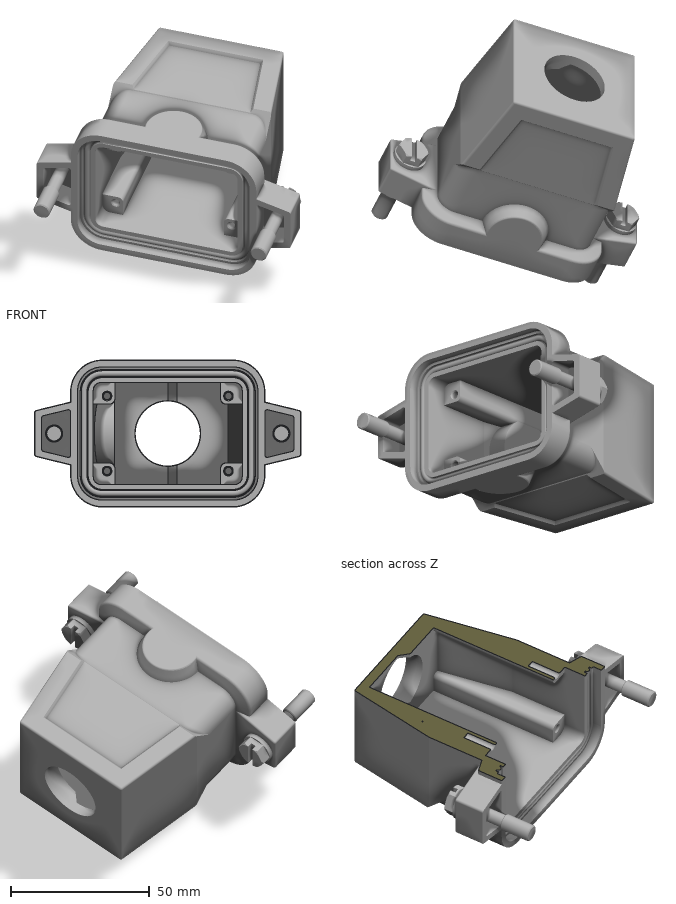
import cadquery as cq
import math


flange_half_x = 35.0
flange_half_z = 26.5
flange_corner = 11.5
flange_edge_y = 10.2
flange_top_y = 11.9
flange_edge_round = 1.0

neck_half_x = 29.9
neck_half_z = 21.6
neck_corner = 6.7

taper_start_y = 34.3
shoulder_y = 35.4
hood_end_y = 70.1
hood_half_z = 23.0
side_draft = 10.0
hood_edge_round = 0.9
undercut_reach = 11.5

panel_depth = 1.2
panel_border = 6.8
panel_end_y = 63.1
panel_wall_draft = 40.0

boss_y = 12.0
boss_base_radius = 12.4
boss_top_radius = 10.3
boss_rim_round = 0.7
boss_start_y = 4.8

wall = 3.0
cavity_half_x = neck_half_x - wall
cavity_half_z = 18.4
cavity_corner = 2.9
floor_y = 66.2
floor_step = 3.3
cable_hole_radius = 11.76
entry_boss_radius = 13.2
entry_boss_y = 49.9
entry_boss_end_x = -19.2

post_inner_x = 19.1
post_inner_z = 10.7
post_start_y = 12.0
post_corner = 1.8
post_hole_x = 21.9
post_hole_z = 13.5
post_hole_radius = 1.3
post_hole_mouth_radius = 1.7
post_hole_depth = 11.5

seat_half_x = 32.5
seat_half_z = 24.0
seat_corner = 8.8
seat_depth = 3.5
groove_depth = 1.2
groove_margin = 1.0
groove_width = 2.9
bead_radius = 1.1

ear_half_x = 48.0
ear_root_half_z = 11.3
ear_tip_half_z = 8.2
ear_height = flange_top_y
ear_round = 0.9
ear_top_round = 0.7
ear_wall = 2.5
ear_plate = 2.9
ear_pocket_corner = 0.9

screw_x = 41.0
shank_radius = 2.4
thread_radius = 3.1
thread_start_y = -4.9
screw_end_y = -16.5
thread_chamfer = 0.4
washer_radius = 6.0
washer_top_y = 13.5
head_top_y = 17.4
head_across_flats = 10.1
head_chamfer = 0.6
slot_width = 1.9
slot_depth = 1.9

edge_margin = 0.1

draft_run = math.tan(math.radians(side_draft))
ear_slope = (ear_root_half_z - ear_tip_half_z) / (ear_half_x - flange_half_x)


def half_x_at(y):
    """Half width of the hood's tapered sides, extended past the ends of the taper."""
    return neck_half_x - (y - taper_start_y) * draft_run


def plane_at(y):
    """Workplane across Y whose local axes are X and Z; extrude negative to go toward +Y."""
    return cq.Workplane("XZ", origin=(0, y, 0))


def edges_between(y_start, y_end):
    """Selector for the edges whose centers lie between two Y positions."""
    return cq.selectors.BoxSelector((-ear_half_x, y_start, -ear_half_x), (ear_half_x, y_end, ear_half_x))


def rounded_block(half_x, half_z, corner, y_start, y_end):
    block = plane_at(y_start).rect(2 * half_x, 2 * half_z).extrude(y_start - y_end)
    return block.edges("|Y").fillet(corner)


def cylinder(radius, y_start, y_end, x=0, z=0):
    return plane_at(y_start).center(x, z).circle(radius).extrude(y_start - y_end)


def rounded_outline(half_x, half_z, corner):
    return cq.Sketch().rect(2 * half_x, 2 * half_z).vertices().fillet(corner)


def make_flange():
    skirt = rounded_block(flange_half_x, flange_half_z, flange_corner, 0, flange_edge_y)
    slope = plane_at(flange_edge_y).placeSketch(
        rounded_outline(flange_half_x, flange_half_z, flange_corner),
        rounded_outline(neck_half_x, neck_half_z, neck_corner).moved(
            cq.Location(cq.Vector(0, 0, flange_edge_y - flange_top_y))
        ),
    ).loft(ruled=True)
    flange = skirt.union(slope)
    rim = edges_between(flange_edge_y - edge_margin, flange_edge_y + edge_margin)
    return flange.edges(rim).fillet(flange_edge_round)


def make_hood():
    """Tapered box, undercut at 45 degrees where its broad faces overhang the neck."""
    start_y = shoulder_y - undercut_reach
    end_half_x = half_x_at(hood_end_y)
    box = (
        cq.Workplane("XY", origin=(0, 0, -hood_half_z))
        .polyline([
            (-neck_half_x, start_y),
            (-neck_half_x, taper_start_y),
            (-end_half_x, hood_end_y),
            (end_half_x, hood_end_y),
            (neck_half_x, taper_start_y),
            (neck_half_x, start_y),
        ])
        .close()
        .extrude(2 * hood_half_z)
    )
    above_taper_start = edges_between(taper_start_y + edge_margin, hood_end_y + edge_margin)
    box = box.edges("#Z or >Y").edges(above_taper_start).fillet(hood_edge_round)
    start_half_z = hood_half_z - undercut_reach
    side_profile = (
        cq.Workplane("YZ", origin=(-neck_half_x, 0, 0))
        .polyline([
            (start_y, -start_half_z),
            (shoulder_y, -hood_half_z),
            (hood_end_y, -hood_half_z),
            (hood_end_y, hood_half_z),
            (shoulder_y, hood_half_z),
            (start_y, start_half_z),
        ])
        .close()
        .extrude(2 * neck_half_x)
    )
    return box.intersect(side_profile)


def make_panel_recess():
    start_y = shoulder_y - undercut_reach
    start_half_x = half_x_at(start_y) - panel_border
    end_half_x = half_x_at(panel_end_y) - panel_border
    return (
        cq.Workplane("XY", origin=(0, 0, hood_half_z))
        .polyline([
            (-start_half_x, start_y),
            (-end_half_x, panel_end_y),
            (end_half_x, panel_end_y),
            (start_half_x, start_y),
        ])
        .close()
        .extrude(-panel_depth, taper=panel_wall_draft)
    )


def make_boss():
    height = flange_half_z - neck_half_z
    cone = cq.Workplane(
        cq.Solid.makeCone(boss_base_radius, boss_top_radius, height, cq.Vector(0, boss_y, neck_half_z))
    )
    cone = cone.faces(">Z").edges().fillet(boss_rim_round)
    buried_part = cq.Workplane("XY").box(
        4 * boss_base_radius, 2 * boss_base_radius, 4 * flange_half_z
    ).translate((0, boss_start_y - boss_base_radius, 0))
    return cone.cut(buried_part)


def make_ear():
    root_x = neck_half_x
    root_half_z = ear_root_half_z + ear_slope * (flange_half_x - root_x)
    ear = (
        plane_at(0)
        .polyline([
            (root_x, -root_half_z),
            (ear_half_x, -ear_tip_half_z),
            (ear_half_x, ear_tip_half_z),
            (root_x, root_half_z),
        ])
        .close()
        .extrude(-ear_height)
    )
    ear = ear.edges("|Y and >X").fillet(ear_round)
    return ear.faces(">Y").edges("not <X").fillet(ear_top_round)


def make_ear_pocket():
    root_half_z = ear_root_half_z - ear_wall
    outer_x = ear_half_x - ear_wall
    outer_half_z = root_half_z - ear_slope * (outer_x - flange_half_x)
    pocket = (
        plane_at(0)
        .polyline([
            (flange_half_x, -root_half_z),
            (outer_x, -outer_half_z),
            (outer_x, outer_half_z),
            (flange_half_x, root_half_z),
        ])
        .close()
        .extrude(ear_plate - ear_height)
    )
    return pocket.edges("|Y").fillet(ear_pocket_corner)


def make_screw():
    shank = cylinder(shank_radius, thread_start_y, flange_top_y)
    thread = cylinder(thread_radius, screw_end_y, thread_start_y).edges().chamfer(thread_chamfer)
    washer = cylinder(washer_radius, ear_height - ear_plate / 2, washer_top_y)
    corner_diameter = head_across_flats / math.cos(math.pi / 6)
    head = plane_at(washer_top_y).polygon(6, corner_diameter).extrude(washer_top_y - head_top_y)
    crown = cylinder(corner_diameter / 2, washer_top_y, head_top_y).faces(">Y").chamfer(head_chamfer)
    slot = cq.Workplane("XY").box(slot_width, 2 * slot_depth, 2 * head_across_flats)
    head = head.intersect(crown).cut(slot.translate((0, head_top_y, 0)))
    return shank.union(thread).union(washer).union(head).translate((screw_x, 0, 0))


def make_post():
    post = (
        plane_at(post_start_y)
        .moveTo(post_inner_x, post_inner_z)
        .lineTo(neck_half_x, post_inner_z)
        .lineTo(neck_half_x, neck_half_z)
        .lineTo(post_inner_x, neck_half_z)
        .close()
        .extrude(post_start_y - hood_end_y)
    )
    post = post.edges("|Y and <X and <Z").fillet(post_corner)
    hole = cylinder(post_hole_radius, post_start_y, post_start_y + post_hole_depth, post_hole_x, post_hole_z)
    mouth_depth = post_hole_mouth_radius - post_hole_radius
    mouth = cq.Workplane(
        cq.Solid.makeCone(
            post_hole_mouth_radius,
            post_hole_radius,
            mouth_depth,
            cq.Vector(post_hole_x, post_start_y, post_hole_z),
            cq.Vector(0, 1, 0),
        )
    )
    return post.cut(hole).cut(mouth)


def make_cavity():
    """Space inside the hood, less the posts and the side-entry boss that stand in it."""
    lower = rounded_block(cavity_half_x, cavity_half_z, cavity_corner, 0, taper_start_y)
    floor_half_x = half_x_at(floor_y) - wall
    raised_floor_y = floor_y - floor_step
    raised_half_x = half_x_at(raised_floor_y) - wall
    upper = (
        cq.Workplane("XY", origin=(0, 0, -cavity_half_z))
        .polyline([
            (-cavity_half_x, taper_start_y),
            (-floor_half_x, floor_y),
            (0, floor_y),
            (floor_step, raised_floor_y),
            (raised_half_x, raised_floor_y),
            (cavity_half_x, taper_start_y),
        ])
        .close()
        .extrude(2 * cavity_half_z)
    )
    entry_boss = (
        cq.Workplane("YZ", origin=(entry_boss_end_x, 0, 0))
        .center(entry_boss_y, 0)
        .circle(entry_boss_radius)
        .extrude(-neck_half_x)
    )
    cavity = lower.union(upper).cut(entry_boss)
    post = make_post()
    for pair in (post, post.mirror("YZ")):
        cavity = cavity.cut(pair).cut(pair.mirror("XY"))
    return cavity


def make_seat():
    """Recess and seal groove cut into the mouth, less the bead that stays in the groove."""
    groove_y = seat_depth + groove_depth
    recess = rounded_block(seat_half_x, seat_half_z, seat_corner, 0, seat_depth)

    def ring_block(inset):
        return rounded_block(
            seat_half_x - inset, seat_half_z - inset, seat_corner - inset, seat_depth, groove_y
        )

    groove = ring_block(groove_margin).cut(ring_block(groove_margin + groove_width))
    bead_inset = groove_margin + groove_width / 2
    half_x = seat_half_x - bead_inset
    half_z = seat_half_z - bead_inset
    corner = seat_corner - bead_inset
    quarter_path = (
        plane_at(groove_y)
        .moveTo(0, half_z)
        .lineTo(half_x - corner, half_z)
        .tangentArcPoint((half_x, half_z - corner), relative=False)
        .lineTo(half_x, 0)
    )
    bead = cq.Workplane("YZ").center(groove_y, half_z).circle(bead_radius).sweep(quarter_path)
    bead = bead.union(bead.mirror("YZ"))
    bead = bead.union(bead.mirror("XY"))
    return recess.union(groove.cut(bead))


def both_ends(shape):
    return shape.union(shape.mirror("YZ"))


neck = rounded_block(neck_half_x, neck_half_z, neck_corner, flange_edge_y, taper_start_y)
boss = make_boss()
panel_recess = make_panel_recess()

result = neck.union(make_hood()).union(make_flange())
result = result.union(boss).union(boss.mirror("XY"))
result = result.union(both_ends(make_ear()))
result = result.cut(panel_recess).cut(panel_recess.mirror("XY"))
result = result.cut(make_cavity()).cut(make_seat())
result = result.cut(cylinder(cable_hole_radius, entry_boss_y, hood_end_y))
result = result.cut(both_ends(make_ear_pocket()))
result = result.union(both_ends(make_screw()))